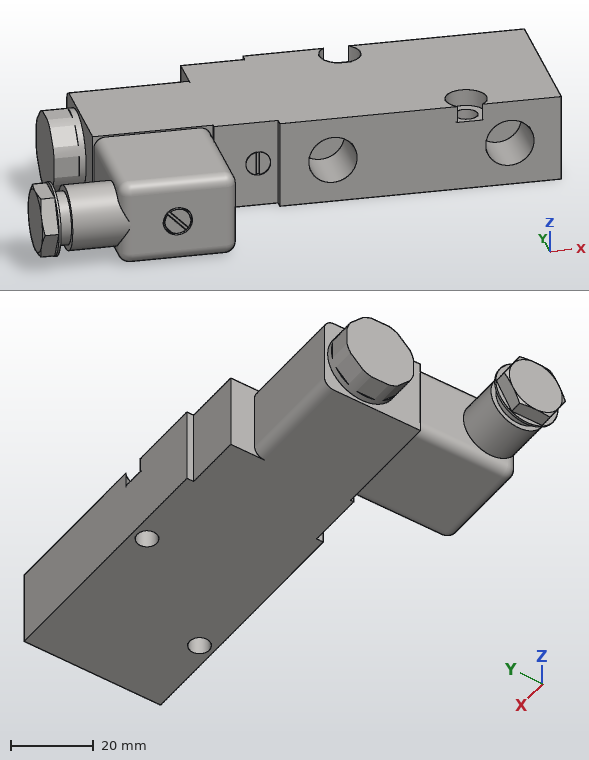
import cadquery as cq
import math

LENGTH = 136.0
VALVE_HEIGHT = 22.0
BODY_WIDTH = 40.0
CORNER_RADIUS = 2.9

COIL_START = 19.0
NECK_BLOCK_START = 49.0
BODY_START = 64.9
END_CAP_THICKNESS = 1.2
BODY_END = LENGTH - END_CAP_THICKNESS

COIL_FRONT_Y = -17.1
COIL_BACK_Y = 11.0
NECK_BLOCK_WIDTH = 36.0
END_CAP_DIAMETER = 13.0

NUT_START = 11.2
NUT_COLLAR_START = 17.4
NUT_DIAMETER = 20.1
NUT_ACROSS_FLATS = 19.5
NUT_FLATS = 8

PORT_DIAMETER = 12.0
PORT_DEPTH = 13.6
PORT_XS = (78.0, 122.0)
MOUNT_DIAMETER = 5.7
MOUNT_OFFSET_Y = 15.9
MOUNT_POINTS = ((88.0, MOUNT_OFFSET_Y), (112.0, -MOUNT_OFFSET_Y))
COUNTERBORE_DIAMETER = 10.2
COUNTERBORE_DEPTH = 4.2

SCREW_RECESS_DEPTH = 0.3
SLOT_DEPTH = 0.8
SLOT_WIDTH = 0.8
OVERRIDE_SCREW_X = 60.0
OVERRIDE_SCREW_DIAMETER = 6.1
OVERRIDE_SLOT_ANGLE = 90.0
PLUG_SCREW_X = 33.6
PLUG_SCREW_DIAMETER = 6.4
RING_GROOVE_DIAMETER = 7.2
PLUG_SLOT_ANGLE = -45.0

PLUG_START = 19.3
PLUG_END = 48.4
PLUG_HEIGHT = 21.2
GLAND_Y = -38.0
BARREL_DIAMETER = 16.0
BARREL_START = 7.5
GLAND_NECK_DIAMETER = 13.2
HEX_ACROSS_FLATS = 15.5
HEX_SIDES = 6
HEX_ACROSS_CORNERS = HEX_ACROSS_FLATS / math.cos(math.pi / HEX_SIDES)
HEX_CHAMFER_LENGTH = 0.4
HEX_END = 3.8
GLAND_FLANGE_DIAMETER = 18.2
GLAND_FLANGE_END = 4.4
PLUG_FRONT_Y = GLAND_Y - BARREL_DIAMETER / 2


def block(x_start, x_end, y_front, y_back, height):
    """Box between two X stations and two Y positions, centred on Z = 0."""
    size = (x_end - x_start, y_back - y_front, height)
    centre = ((x_start + x_end) / 2, (y_front + y_back) / 2, 0)
    return cq.Workplane("XY").box(*size).translate(centre)


def x_plane(x_start, y=0.0):
    """Workplane facing +X with its origin at the given point."""
    return cq.Workplane("YZ", origin=(x_start, y, 0))


def x_cylinder(diameter, x_start, x_end, y=0.0):
    return x_plane(x_start, y).circle(diameter / 2).extrude(x_end - x_start)


def x_polygon(sides, across_flats, x_start, x_end, y=0.0):
    """Regular prism along X with flats facing +Z and -Z (sides must be even)."""
    half_side_angle = math.pi / sides
    across_corners = across_flats / math.cos(half_side_angle)
    prism = x_plane(x_start, y).polygon(sides, across_corners).extrude(x_end - x_start)
    turn = 0.0 if sides % 4 == 2 else math.degrees(half_side_angle)
    return prism.rotate((0, y, 0), (1, y, 0), turn)


def front_hole(x, y_front, diameter, depth):
    """Blind round hole cutter going in along +Y from a front face."""
    return cq.Workplane("XZ", origin=(x, y_front, 0)).circle(diameter / 2).extrude(-depth)


def screw_slot(x, y_front, diameter, angle):
    """Cutter for a screwdriver slot across a round screw head."""
    slot = (
        cq.Workplane("XZ", origin=(x, y_front, 0))
        .transformed(rotate=(0, 0, angle))
        .rect(diameter, SLOT_WIDTH)
        .extrude(-SLOT_DEPTH)
    )
    return slot.intersect(front_hole(x, y_front, diameter, SLOT_DEPTH))


def override_screw(y_front):
    """Cutter for the manual override: a round recess with a deeper slot."""
    recess = front_hole(OVERRIDE_SCREW_X, y_front, OVERRIDE_SCREW_DIAMETER, SCREW_RECESS_DEPTH)
    slot = screw_slot(OVERRIDE_SCREW_X, y_front, OVERRIDE_SCREW_DIAMETER, OVERRIDE_SLOT_ANGLE)
    return recess.union(slot)


def plug_screw():
    """Cutter for the plug screw: a ring groove around a flush slotted head."""
    bore = front_hole(PLUG_SCREW_X, PLUG_FRONT_Y, RING_GROOVE_DIAMETER, SLOT_DEPTH)
    head = front_hole(PLUG_SCREW_X, PLUG_FRONT_Y, PLUG_SCREW_DIAMETER, SLOT_DEPTH)
    slot = screw_slot(PLUG_SCREW_X, PLUG_FRONT_Y, RING_GROOVE_DIAMETER, PLUG_SLOT_ANGLE)
    return bore.cut(head).union(slot)


def coil_nut():
    cap = x_cylinder(NUT_DIAMETER, NUT_START, NUT_COLLAR_START).intersect(
        x_polygon(NUT_FLATS, NUT_ACROSS_FLATS, NUT_START, NUT_COLLAR_START)
    )
    collar = x_cylinder(NUT_DIAMETER, NUT_COLLAR_START, COIL_START)
    return cap.union(collar)


def make_valve():
    """Valve body with its neck block, coil, coil nut and end cap."""
    body_front_y = -BODY_WIDTH / 2
    neck_front_y = -NECK_BLOCK_WIDTH / 2

    coil = block(COIL_START, NECK_BLOCK_START, COIL_FRONT_Y, COIL_BACK_Y, VALVE_HEIGHT)
    coil = coil.edges("|X and >Y").fillet(CORNER_RADIUS)
    neck = block(NECK_BLOCK_START, BODY_START, neck_front_y, -neck_front_y, VALVE_HEIGHT)
    body = block(BODY_START, BODY_END, body_front_y, -body_front_y, VALVE_HEIGHT)
    end_cap = x_cylinder(END_CAP_DIAMETER, BODY_END, LENGTH)
    valve = body.union(neck).union(coil).union(coil_nut()).union(end_cap)

    for x in PORT_XS:
        valve = valve.cut(front_hole(x, body_front_y, PORT_DIAMETER, PORT_DEPTH))

    top = cq.Workplane("XY", origin=(0, 0, VALVE_HEIGHT / 2)).pushPoints(MOUNT_POINTS)
    valve = valve.cut(top.circle(MOUNT_DIAMETER / 2).extrude(-VALVE_HEIGHT))
    valve = valve.cut(top.circle(COUNTERBORE_DIAMETER / 2).extrude(-COUNTERBORE_DEPTH))

    return valve.cut(override_screw(neck_front_y))


def cable_gland():
    """Hexagon cap with a thin flange, then a neck and the barrel entering the plug."""
    rounded_corners = (
        x_cylinder(HEX_ACROSS_CORNERS, 0, HEX_END, GLAND_Y)
        .faces("<X")
        .chamfer(HEX_CHAMFER_LENGTH, (HEX_ACROSS_CORNERS - HEX_ACROSS_FLATS) / 2)
    )
    hexagon = x_polygon(HEX_SIDES, HEX_ACROSS_FLATS, 0, HEX_END, GLAND_Y).intersect(rounded_corners)
    flange = x_cylinder(GLAND_FLANGE_DIAMETER, HEX_END, GLAND_FLANGE_END, GLAND_Y)
    neck = x_cylinder(GLAND_NECK_DIAMETER, GLAND_FLANGE_END, BARREL_START, GLAND_Y)
    barrel = x_cylinder(BARREL_DIAMETER, BARREL_START, PLUG_START + CORNER_RADIUS, GLAND_Y)
    return hexagon.union(flange).union(neck).union(barrel)


def make_plug():
    """Connector plug seated on the coil front, with its cable gland."""
    box = block(PLUG_START, PLUG_END, PLUG_FRONT_Y, COIL_FRONT_Y, PLUG_HEIGHT)
    box = box.edges("|Y or <Y").fillet(CORNER_RADIUS)
    plug = box.union(cable_gland())
    return plug.cut(plug_screw())


valve = make_valve()
plug = make_plug()

result = cq.Compound.makeCompound([valve.val(), plug.val()])